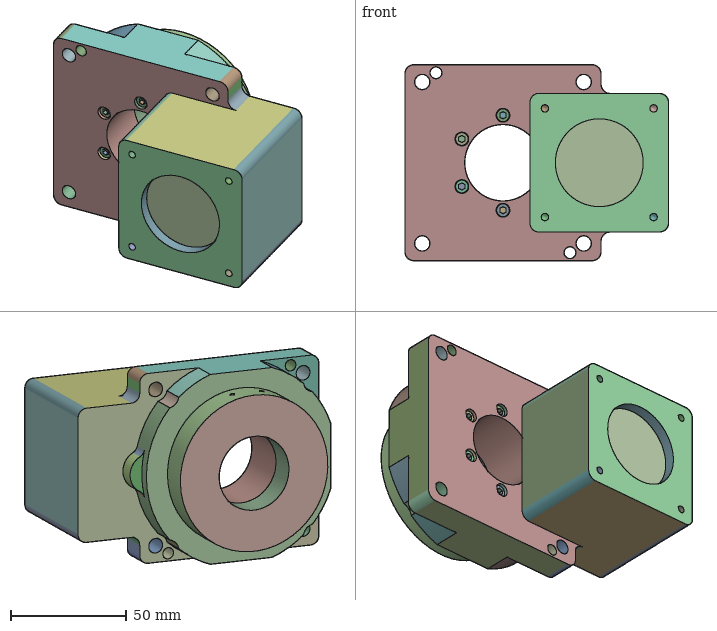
import cadquery as cq
import math


table_depth = 13.7
flange_depth = 12.6
plate_depth = 13.3
motor_depth = 43.4
boss_depth = 7.7
plate_back_y = -flange_depth
plate_front_y = plate_back_y - plate_depth
motor_front_y = plate_front_y - motor_depth

plate_size = 85.0
motor_size = 60.1
overall_length = 114.3
corner_radius = 4.0
plate_half = plate_size / 2
end_x = overall_length - plate_half
motor_x = end_x - motor_size / 2

table_diameter = 70.0
bore_diameter = 33.0
flange_diameter = 90.0

boss_radius = 8.8
boss_neck_radius = 4.0

mount_offset = 35.0
mount_diameter = 6.5
mount_relief_radius = 5.5
dowel_x = 29.0
dowel_z = 39.0
dowel_diameter = 5.0

seat_circle_radius = 20.6
seat_angles = (90, 150, 210, 270)
seat_diameter = 6.0
seat_depth = 3.7
head_diameter = 5.5
head_recess = 1.4
socket_sides = 6
socket_across_flats = 2.7
socket_depth = 2.3

motor_recess_diameter = 38.1
motor_recess_depth = 5.0
motor_hole_offset = 23.5
motor_hole_diameter = 3.2
motor_hole_depth = 5.7

index_hole_x = 7.0
index_hole_y = 6.2
index_hole_diameter = 2.1
index_hole_depth = 3.4

drill_tip_angle = 118


def rod(x, z, diameter, front_y, back_y):
    """Cylinder parallel to Y between two depths."""
    return cq.Workplane(
        cq.Solid.makeCylinder(diameter / 2, back_y - front_y, cq.Vector(x, front_y, z), cq.Vector(0, 1, 0))
    )


def block(center_x, length, height, front_y, back_y):
    """Box centred on z = 0 between two depths."""
    center_y = (front_y + back_y) / 2
    return cq.Workplane("XY").box(length, back_y - front_y, height).translate((center_x, center_y, 0))


def drilled_hole(start, direction, diameter, depth):
    """Cutter for a blind hole with a conical drill tip."""
    radius = diameter / 2
    tip_length = radius / math.tan(math.radians(drill_tip_angle / 2))
    axis = cq.Vector(*direction)
    tip_start = cq.Vector(*start) + axis * depth
    shank = cq.Workplane(cq.Solid.makeCylinder(radius, depth, cq.Vector(*start), axis))
    tip = cq.Workplane(cq.Solid.makeCone(radius, 0, tip_length, tip_start, axis))
    return shank.union(tip)


def square_corners(offset):
    """The four corners of a square centred on the origin."""
    return [(x, z) for x in (-offset, offset) for z in (-offset, offset)]


def make_table():
    """Rotating table: a plain ring with two index holes in its rim."""
    table = rod(0, 0, table_diameter, 0, table_depth)
    table = table.cut(rod(0, 0, bore_diameter, 0, table_depth))
    rim_z = math.sqrt((table_diameter / 2) ** 2 - index_hole_x ** 2)
    start_z = table_diameter / 2
    depth = start_z - rim_z + index_hole_depth
    for x in (-index_hole_x, index_hole_x):
        hole = drilled_hole((x, index_hole_y, start_z), (0, 0, -1), index_hole_diameter, depth)
        table = table.cut(hole)
    return table


def make_plate():
    """Square plate with a narrower extension that carries the motor."""
    square = block(0, plate_size, plate_size, plate_front_y, plate_back_y)
    extension = block(end_x / 2, end_x, motor_size, plate_front_y, plate_back_y)
    return square.union(extension).edges("|Y").fillet(corner_radius)


def make_flange():
    """Disc behind the plate, flush with three plate sides and relieved around the mounting holes."""
    disc = rod(0, 0, flange_diameter, plate_back_y, 0)
    trim_length = plate_half + flange_diameter
    trim_x = trim_length / 2 - plate_half
    disc = disc.intersect(block(trim_x, trim_length, plate_size, plate_back_y, 0))
    for x, z in square_corners(mount_offset):
        disc = disc.cut(rod(x, z, 2 * mount_relief_radius, plate_back_y, 0))
    return disc


def make_boss():
    """Shaft boss, joined to the round edge of the flange by concave necks."""
    boss_back_y = plate_back_y + boss_depth
    core = rod(0, 0, flange_diameter, plate_back_y, boss_back_y)
    boss = core.union(rod(motor_x, 0, 2 * boss_radius, plate_back_y, boss_back_y))
    neck_edges = cq.selectors.BoxSelector(
        (motor_x, plate_back_y, -boss_radius),
        (motor_x + boss_radius, boss_back_y, boss_radius),
    )
    boss = boss.edges("|Y").edges(neck_edges).fillet(boss_neck_radius)
    outer_length = end_x - plate_half
    outer_x = plate_half + outer_length / 2
    return boss.intersect(block(outer_x, outer_length, motor_size / 2, plate_back_y, boss_back_y))


def make_motor():
    """Square motor with a round recess and four tapped-size holes in its end face."""
    motor = block(motor_x, motor_size, motor_size, motor_front_y, plate_front_y)
    motor = motor.edges("|Y").fillet(corner_radius)
    recess_floor_y = motor_front_y + motor_recess_depth
    motor = motor.cut(rod(motor_x, 0, motor_recess_diameter, motor_front_y, recess_floor_y))
    for x, z in square_corners(motor_hole_offset):
        start = (motor_x + x, motor_front_y, z)
        motor = motor.cut(drilled_hole(start, (0, 1, 0), motor_hole_diameter, motor_hole_depth))
    return motor


def make_seat_cutter(x, z):
    """Cutter that leaves a socket head standing in its counterbore."""
    seat_floor_y = plate_front_y + seat_depth
    head_top_y = plate_front_y + head_recess
    counterbore = rod(x, z, seat_diameter, plate_front_y, seat_floor_y)
    head = rod(x, z, head_diameter, head_top_y, seat_floor_y)
    socket_across_corners = socket_across_flats / math.cos(math.pi / socket_sides)
    socket = (
        cq.Workplane("XZ", origin=(x, head_top_y, z))
        .transformed(rotate=(0, 0, 90))
        .polygon(socket_sides, socket_across_corners)
        .extrude(-socket_depth)
    )
    return counterbore.cut(head).union(socket)


def make_housing():
    """Fixed housing: plate, flange, boss and motor in one piece."""
    stage = make_plate().union(make_flange()).union(make_boss())
    stage = stage.cut(rod(0, 0, bore_diameter, plate_front_y, 0))

    for x, z in square_corners(mount_offset):
        stage = stage.cut(rod(x, z, mount_diameter, plate_front_y, plate_back_y))
    for side in (-1, 1):
        stage = stage.cut(rod(side * dowel_x, -side * dowel_z, dowel_diameter, plate_front_y, plate_back_y))

    for angle in seat_angles:
        x = seat_circle_radius * math.cos(math.radians(angle))
        z = seat_circle_radius * math.sin(math.radians(angle))
        stage = stage.cut(make_seat_cutter(x, z))

    return stage.union(make_motor())


table = make_table()
housing = make_housing()

result = cq.Compound.makeCompound([table.val(), housing.val()])